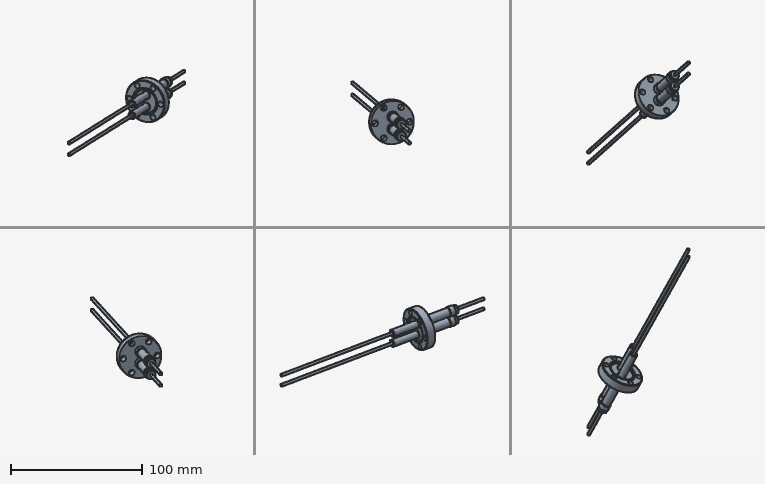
import cadquery as cq
import math

length = 184.2
half_length = length / 2

flange_diameter = 33.7
flange_front = 29.6
flange_thickness = 7.4
flange_back = flange_front + flange_thickness
flange_chamfer = 0.5

bolt_count = 6
bolt_circle_diameter = 27.0
bolt_hole_diameter = 4.5

recess_diameter = 21.5
recess_depth = 1.3
knife_diameter = 18.5
knife_height = 0.7

feed_spacing = 9.4
feed_heights = (-feed_spacing / 2, feed_spacing / 2)
wire_diameter = 2.4

sleeve_diameter = 5.9
sleeve_bore_diameter = 4.8
sleeve_bore_depth = 1.1
sleeve_front = 8.5

sleeve_relief_diameter = 7.0
sleeve_relief_depth = 0.5

insulator_diameter = 7.2
insulator_chamfer_length = 0.5
insulator_chamfer_width = 0.2
insulator_back = 67.0
collar_diameter = 8.1
front_collar_back = 41.6
rear_collar_front = 59.5
rear_collar_back = 64.6
collar_chamfer = (collar_diameter - insulator_diameter) / 2


def rod(diameter, y_start, y_end, z=0.0):
    """Cylinder along +Y between two Y positions, at height z."""
    plane = cq.Plane(origin=(0, y_start, z), xDir=(1, 0, 0), normal=(0, 1, 0))
    return cq.Workplane(plane).circle(diameter / 2).extrude(y_end - y_start)


def make_flange():
    """Chamfered disc with a knife-edged sealing recess, bolt holes and sleeve reliefs."""
    disc = rod(flange_diameter, flange_front, flange_back).faces("<Y").chamfer(flange_chamfer)
    floor = flange_front + recess_depth
    recess_radius = recess_diameter / 2
    knife_radius = knife_diameter / 2
    recess_section = (
        cq.Workplane("XY")
        .moveTo(0, flange_front)
        .lineTo(recess_radius, flange_front)
        .lineTo(recess_radius, floor)
        .lineTo(knife_radius, floor - knife_height)
        .lineTo(knife_radius, floor)
        .lineTo(0, floor)
        .close()
    )
    flange = disc.cut(recess_section.revolve(360, (0, 0, 0), (0, 1, 0)))
    for index in range(bolt_count):
        angle = 2 * math.pi * index / bolt_count
        x = bolt_circle_diameter / 2 * math.cos(angle)
        z = bolt_circle_diameter / 2 * math.sin(angle)
        bolt_hole = rod(bolt_hole_diameter, flange_front, flange_back, z).translate((x, 0, 0))
        flange = flange.cut(bolt_hole)
    for z in feed_heights:
        flange = flange.cut(rod(sleeve_relief_diameter, floor, floor + sleeve_relief_depth, z))
    return flange


def make_feedthrough(z):
    """Wire, front sleeve and collared insulator on one axis at height z."""
    sleeve = rod(sleeve_diameter, sleeve_front, flange_back, z)
    sleeve = sleeve.cut(rod(sleeve_bore_diameter, sleeve_front, sleeve_front + sleeve_bore_depth, z))
    insulator = rod(insulator_diameter, flange_back, insulator_back, z)
    insulator = insulator.faces(">Y").chamfer(insulator_chamfer_length, insulator_chamfer_width)
    front_collar = rod(collar_diameter, flange_back, front_collar_back, z)
    front_collar = front_collar.faces(">Y").chamfer(collar_chamfer)
    rear_collar = rod(collar_diameter, rear_collar_front, rear_collar_back, z)
    rear_collar = rear_collar.faces("<Y or >Y").chamfer(collar_chamfer)
    wire = rod(wire_diameter, -half_length, half_length, z)
    return sleeve.union(insulator).union(front_collar).union(rear_collar).union(wire)


result = make_flange()
for height in feed_heights:
    result = result.union(make_feedthrough(height))